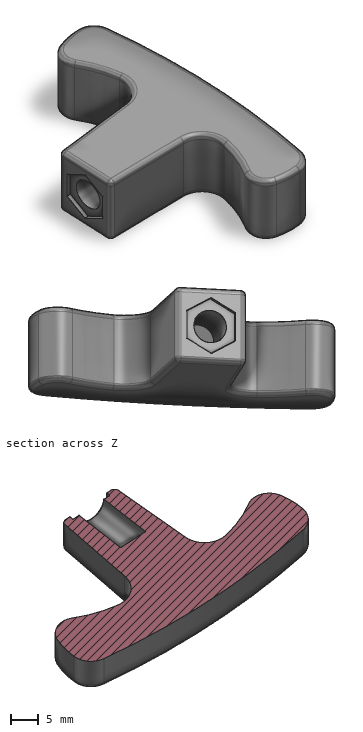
import cadquery as cq
import math

length = 56.05
height = 32.85
thickness = 14.0
edge_radius = 1.0

crown_radius = 156.4
tip_radius = 15.0
tip_center_y = 26.1
relief_radius = 25.2
relief_center = (8.7, -2.35)

stem_end_half_width = 6.5
stem_taper_deg = 3.0
upper_tip_corner_radius = 4.3
lower_tip_corner_radius = 4.0
stem_root_radius = 4.9

hex_across_flats = 8.95
hex_depth = 0.85
bore_diameter = 6.0
bore_depth = 2 * bore_diameter

crown_center = (0, height - crown_radius)
tip_center = (length / 2 - tip_radius, tip_center_y)


def circle_crossings(center_a, radius_a, center_b, radius_b):
    """Both crossing points of two circles."""
    dx = center_b[0] - center_a[0]
    dy = center_b[1] - center_a[1]
    distance = math.hypot(dx, dy)
    along = (radius_a**2 - radius_b**2 + distance**2) / (2 * distance)
    across = math.sqrt(radius_a**2 - along**2)
    ux = dx / distance
    uy = dy / distance
    return [
        (center_a[0] + along * ux - side * across * uy, center_a[1] + along * uy + side * across * ux)
        for side in (-1, 1)
    ]


def mirrored(point):
    return (-point[0], point[1])


def arc_middle(center, radius, start, end):
    """Point halfway along the shorter arc from start to end."""
    dx = (start[0] + end[0]) / 2 - center[0]
    dy = (start[1] + end[1]) / 2 - center[1]
    scale = radius / math.hypot(dx, dy)
    return (center[0] + scale * dx, center[1] + scale * dy)


stem_end = (stem_end_half_width, 0)
relief_top = relief_center[1] + relief_radius
stem_root_x = stem_end_half_width + relief_top * math.tan(math.radians(stem_taper_deg))
stem_root_rise = math.sqrt(relief_radius**2 - (stem_root_x - relief_center[0]) ** 2)
stem_root = (stem_root_x, relief_center[1] + stem_root_rise)
tip_lower = max(circle_crossings(tip_center, tip_radius, relief_center, relief_radius))
tip_upper = max(circle_crossings(tip_center, tip_radius, crown_center, crown_radius))
relief_middle = arc_middle(relief_center, relief_radius, stem_root, tip_lower)
tip_middle = arc_middle(tip_center, tip_radius, tip_lower, tip_upper)


def round_corners(body, corner, radius):
    """Round the upright edges at a corner and at its mirror image."""
    for x, y in (corner, mirrored(corner)):
        edge = cq.selectors.NearestToPointSelector((x, y, 0))
        body = body.edges("|Z").edges(edge).fillet(radius)
    return body


def make_body():
    body = (
        cq.Workplane("XY", origin=(0, 0, -thickness / 2))
        .moveTo(*stem_end)
        .lineTo(*stem_root)
        .threePointArc(relief_middle, tip_lower)
        .threePointArc(tip_middle, tip_upper)
        .threePointArc((0, height), mirrored(tip_upper))
        .threePointArc(mirrored(tip_middle), mirrored(tip_lower))
        .threePointArc(mirrored(relief_middle), mirrored(stem_root))
        .lineTo(*mirrored(stem_end))
        .close()
        .extrude(thickness)
    )
    body = round_corners(body, tip_upper, upper_tip_corner_radius)
    body = round_corners(body, tip_lower, lower_tip_corner_radius)
    body = round_corners(body, stem_root, stem_root_radius)
    body = round_corners(body, stem_end, edge_radius)
    return body.faces("<Z or >Z").edges().fillet(edge_radius)


def make_socket():
    """Hexagonal recess with two points up and down, and the bore behind it."""
    hex_across_corners = hex_across_flats / math.cos(math.pi / 6)
    recess = (
        cq.Workplane("XZ")
        .transformed(rotate=(0, 0, 90))
        .polygon(6, hex_across_corners)
        .extrude(-hex_depth)
    )
    bore = cq.Workplane("XZ").circle(bore_diameter / 2).extrude(-bore_depth)
    return recess.union(bore)


result = make_body().cut(make_socket())